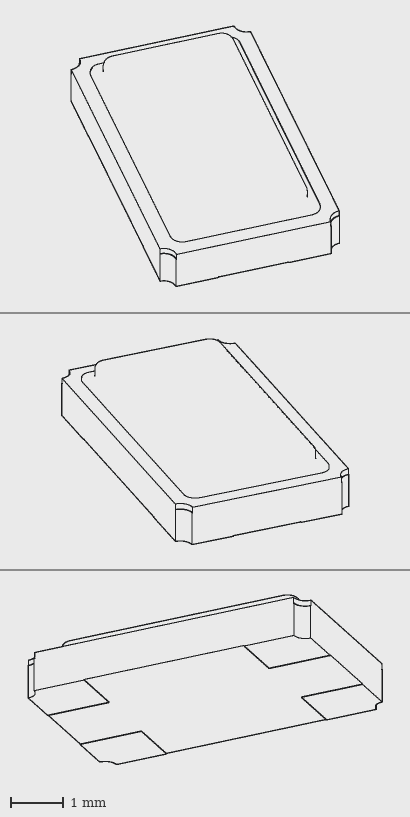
import cadquery as cq

length = 6.0
width = 3.6
total_height = 1.21

plating = 0.01
pad_length = 1.3
pad_width = 1.1
plating_top_gap = 0.12

corner_notch_radius = 0.25

lid_height = 0.4
flange_thickness = 0.051
flange_inset = 0.3
flange_corner_radius = 0.24
flange_edge_fillet = 0.025
cap_inset = 0.5
cap_corner_radius = 0.24
cap_fillet = 0.1

selection_margin = 0.005

base_top = total_height - lid_height
flange_top = base_top + flange_thickness


def centred_block(size_x, size_y, bottom, top):
    return cq.Workplane("XY").workplane(offset=bottom).rect(size_x, size_y).extrude(top - bottom)


def corner_cylinders(radius, top):
    """Upright cylinders from the underside, centred on the four package corners."""
    corners = cq.Workplane("XY").rect(length, width, forConstruction=True).vertices()
    return corners.circle(radius).extrude(top)


def lid_layer(inset, corner_radius, edge_fillet, bottom, top):
    """A block set in evenly from the package outline, rounded at its corners and top edge."""
    block = centred_block(length - 2 * inset, width - 2 * inset, bottom, top)
    return block.edges("|Z").fillet(corner_radius).faces(">Z").edges().fillet(edge_fillet)


def ceramic_base():
    block = centred_block(length, width, plating, base_top)
    return block.cut(corner_cylinders(corner_notch_radius, base_top))


def corner_plating():
    """Corner pads under the base, with a plated lining running up each notch."""
    spacing_x = length - pad_length
    spacing_y = width - pad_width
    pad_centres = cq.Workplane("XY").rect(spacing_x, spacing_y, forConstruction=True).vertices()
    pads = pad_centres.rect(pad_length, pad_width).extrude(plating)
    lining_top = base_top - plating_top_gap
    package_outline = centred_block(length, width, 0, lining_top)
    lining = corner_cylinders(corner_notch_radius, lining_top).intersect(package_outline)
    return pads.union(lining).cut(corner_cylinders(corner_notch_radius - plating, lining_top))


def lid():
    flange = lid_layer(flange_inset, flange_corner_radius, flange_edge_fillet, base_top, flange_top)
    cap = lid_layer(cap_inset, cap_corner_radius, cap_fillet, flange_top, total_height)

    reach_x = length / 2 - cap_inset + selection_margin
    reach_y = width / 2 - cap_inset + selection_margin
    joint = cq.selectors.BoxSelector(
        (-reach_x, -reach_y, flange_top - selection_margin),
        (reach_x, reach_y, flange_top + selection_margin),
    )
    return flange.union(cap).edges(joint).fillet(cap_fillet)


result = ceramic_base().union(corner_plating()).union(lid())